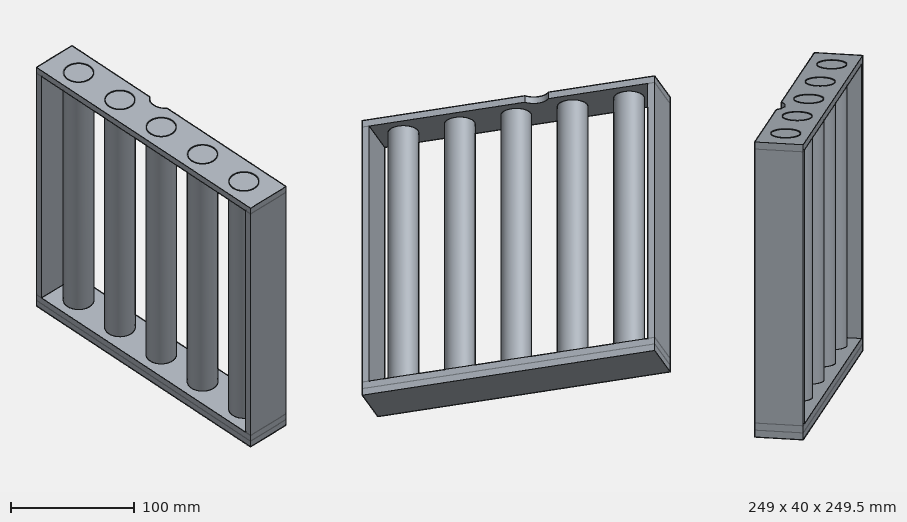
import cadquery as cq

frame_width = 249.0
frame_depth = 40.0
frame_height = 249.5
plate_thickness = 6.0

rod_count = 5
rod_diameter = 25.0
rod_span = 192.0
rod_rim_width = 0.5
rod_recess_depth = 0.5

notch_diameter = 25.0
notch_depth = 5.0

base_joint_z = plate_thickness
base_top_z = 2 * plate_thickness
top_plate_z = frame_height - plate_thickness
rod_pitch = rod_span / (rod_count - 1)
rod_points = [(i * rod_pitch - rod_span / 2, 0) for i in range(rod_count)]
recess_diameter = rod_diameter - 2 * rod_rim_width
notch_x = -rod_pitch / 2
notch_y = frame_depth / 2 - notch_depth + notch_diameter / 2


def horizontal_plate(bottom_z):
    """Full-size plate lying flat with its underside at bottom_z."""
    return (
        cq.Workplane("XY", origin=(0, 0, bottom_z))
        .box(frame_width, frame_depth, plate_thickness, centered=(True, True, False))
    )


def side_plate(side):
    """Upright plate between base and top; side is -1 for -X and +1 for +X."""
    center_x = side * (frame_width - plate_thickness) / 2
    height = top_plate_z - base_top_z
    return (
        cq.Workplane("XY", origin=(center_x, 0, base_top_z))
        .box(plate_thickness, frame_depth, height, centered=(True, True, False))
    )


def cylinders(points, diameter, bottom_z, top_z):
    """Upright cylinders of one diameter at the given XY points."""
    return (
        cq.Workplane("XY", origin=(0, 0, bottom_z))
        .pushPoints(points)
        .circle(diameter / 2)
        .extrude(top_z - bottom_z)
    )



result = horizontal_plate(0)
for plate in (
    horizontal_plate(base_joint_z),
    side_plate(-1),
    side_plate(1),
    horizontal_plate(top_plate_z),
):
    result = result.union(plate, clean=False)

rods = cylinders(rod_points, rod_diameter, base_top_z, frame_height)
result = result.union(rods, clean=False)

recesses = cylinders(rod_points, recess_diameter, frame_height - rod_recess_depth, frame_height)
result = result.cut(recesses, clean=False)

notch = cylinders([(notch_x, notch_y)], notch_diameter, top_plate_z, frame_height)
result = result.cut(notch, clean=False)